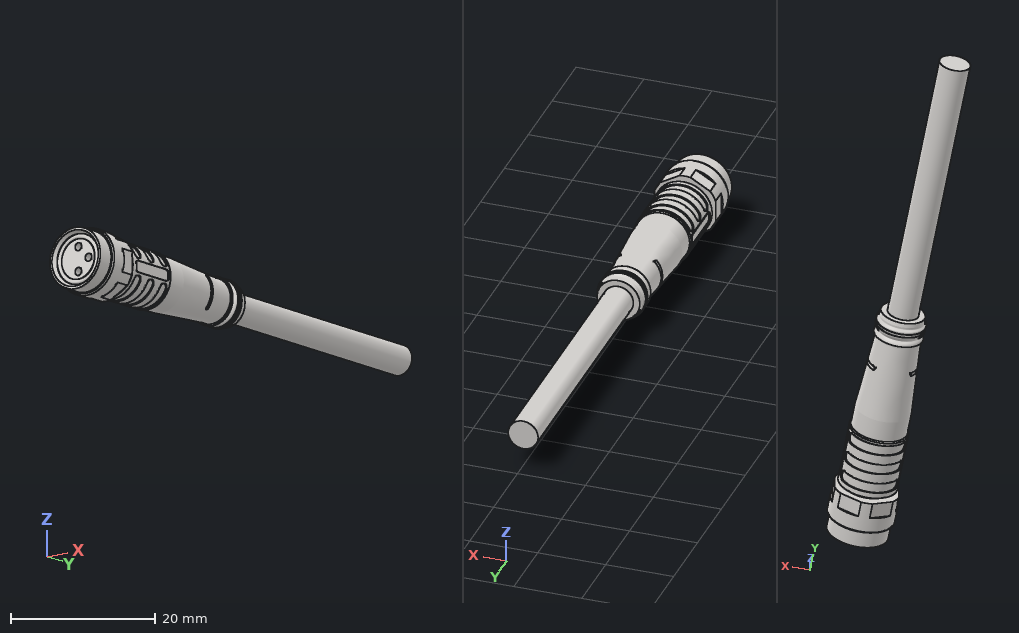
import cadquery as cq
import math


MATING_END_Y = -37.55
CABLE_END_Y = 37.55
COLLAR_FRONT_Y = -35.1
COLLAR_CHAMFER = 0.2
HEX_FRONT_Y = -32.6
NUT_REAR_Y = -30.35
GRIP_FRONT_Y = -29.75
GRIP_REAR_Y = -20.8
GRIP_CHAMFER = 0.19
TAPER_FRONT_Y = -17.7
TAPER_REAR_Y = -6.4
BOOT_END_Y = -2.4

CABLE_DIA = 4.4
BARREL_DIA = 8.8
COLLAR_DIA = 9.6
NECK_DIA = 6.5
GRIP_DIA = 8.4
BODY_DIA = 8.0
TAPER_REAR_DIA = 6.5

BEAD_DIA = 7.05
FRONT_BEAD_Y = -5.9
WAIST_Y = -5.25
WAIST_DIA = 6.3
WAIST_CORE_DIA = 5.6
BEAD_SPLIT_FRONT_Y = -4.4
BEAD_SPLIT_WIDTH = 0.45
BEAD_SPLIT_DIA = 6.9
REAR_BEAD_WIDTH = 0.4
REAR_BEAD_FLANK = 0.26
BOOT_LIP_Y = -3.0
BOOT_LIP_DIA = 6.3

HEX_ACROSS_FLATS = 9.0

SOCKET_MOUTH_DIA = 8.0
SOCKET_BOTTOM_DIA = 7.2
SOCKET_DEPTH = 0.75
INSERT_DIA = 5.8
CONTACT_DIA = 1.1
CONTACT_DEPTH = 1.5
CONTACT_RADIUS = 1.765
CONTACT_ANGLES = (-90, 0, 90)

GRIP_RECESS_DIA = BODY_DIA
GRIP_SLOT_WIDTH = 1.5
GRIP_SLOT_PITCH = 3.0
GRIP_SLOT_MIDDLE_Y = -25.15
GRIP_SLOT_END_Z = 1.2
SIDE_SLOT_WIDTH = 1.65
SIDE_SLOT_LENGTH = 7.5
SIDE_SLOT_CORNER = 0.5
SIDE_SLOT_FLOOR_X = GRIP_RECESS_DIA / 2

NOTCH_REAR_Y = -10.3
NOTCH_LENGTH = 0.5
NOTCH_DEPTH = 0.19
NOTCH_HALF_HEIGHT = 2.4

CUT_MARGIN = 1.5


def revolve_about_y(points):
    """Revolve an outline of (diameter, y) points about the Y axis."""
    outline = [(diameter / 2, y) for diameter, y in points]
    return cq.Workplane("XY").polyline(outline).close().revolve(360, (0, 0, 0), (0, 1, 0))


def taper_dia(y):
    share = (y - TAPER_FRONT_Y) / (TAPER_REAR_Y - TAPER_FRONT_Y)
    return BODY_DIA + share * (TAPER_REAR_DIA - BODY_DIA)


def outer_body():
    return revolve_about_y([
        (0, MATING_END_Y),
        (BARREL_DIA, MATING_END_Y),
        (BARREL_DIA, COLLAR_FRONT_Y),
        (COLLAR_DIA - 2 * COLLAR_CHAMFER, COLLAR_FRONT_Y),
        (COLLAR_DIA, COLLAR_FRONT_Y + COLLAR_CHAMFER),
        (COLLAR_DIA, NUT_REAR_Y),
        (NECK_DIA, NUT_REAR_Y),
        (NECK_DIA, GRIP_FRONT_Y),
        (GRIP_DIA, GRIP_FRONT_Y),
        (GRIP_DIA, GRIP_REAR_Y - GRIP_CHAMFER),
        (BODY_DIA, GRIP_REAR_Y),
        (BODY_DIA, TAPER_FRONT_Y),
        (TAPER_REAR_DIA, TAPER_REAR_Y),
        (TAPER_REAR_DIA, FRONT_BEAD_Y),
        (WAIST_CORE_DIA, FRONT_BEAD_Y),
        (WAIST_CORE_DIA, BOOT_LIP_Y),
        (TAPER_REAR_DIA, BOOT_LIP_Y),
        (BOOT_LIP_DIA, BOOT_END_Y),
        (CABLE_DIA, BOOT_END_Y),
        (CABLE_DIA, CABLE_END_Y),
        (0, CABLE_END_Y),
    ])


def strain_relief_beads():
    """Rounded beads as one ring, running from the front bead to the lip."""
    split_rear_y = BEAD_SPLIT_FRONT_Y + BEAD_SPLIT_WIDTH
    rear_bead_y = split_rear_y + REAR_BEAD_WIDTH
    bead_radius = BEAD_DIA / 2
    split_radius = BEAD_SPLIT_DIA / 2
    body_radius = TAPER_REAR_DIA / 2
    waist = [
        (WAIST_DIA / 2, WAIST_Y),
        (bead_radius, BEAD_SPLIT_FRONT_Y),
    ]
    rear_flank = [
        (bead_radius, rear_bead_y),
        (body_radius, rear_bead_y + REAR_BEAD_FLANK),
        (body_radius, BOOT_LIP_Y),
    ]
    along_y = [(0, 1), (0, 1)]
    return (
        cq.Workplane("XY")
        .moveTo(0, FRONT_BEAD_Y)
        .lineTo(bead_radius, FRONT_BEAD_Y)
        .spline(waist, tangents=along_y, includeCurrent=True)
        .lineTo(split_radius, BEAD_SPLIT_FRONT_Y)
        .lineTo(split_radius, split_rear_y)
        .lineTo(bead_radius, split_rear_y)
        .spline(rear_flank, tangents=along_y, includeCurrent=True)
        .lineTo(0, BOOT_LIP_Y)
        .close()
        .revolve(360, (0, 0, 0), (0, 1, 0))
    )


def hex_flat_cutter():
    """Material outside the hexagon, whose flats face +X and -X."""
    length = NUT_REAR_Y - HEX_FRONT_Y
    across_corners = HEX_ACROSS_FLATS / math.cos(math.pi / 6)
    plane = cq.Workplane("XZ", origin=(0, NUT_REAR_Y, 0))
    hexagon = plane.transformed(rotate=(0, 0, 30)).polygon(6, across_corners).extrude(length)
    return plane.circle(COLLAR_DIA).extrude(length).cut(hexagon)


def socket_recess():
    """Conical mouth with a half-round ring left standing around the insert."""
    floor_y = MATING_END_Y + SOCKET_DEPTH
    mouth = revolve_about_y([
        (0, MATING_END_Y),
        (SOCKET_MOUTH_DIA, MATING_END_Y),
        (SOCKET_BOTTOM_DIA, floor_y),
        (0, floor_y),
    ])
    ring_radius = (SOCKET_BOTTOM_DIA - INSERT_DIA) / 4
    ring_center = (SOCKET_BOTTOM_DIA + INSERT_DIA) / 4
    ring = (
        cq.Workplane("XY")
        .moveTo(ring_center - ring_radius, floor_y)
        .threePointArc((ring_center, floor_y - ring_radius), (ring_center + ring_radius, floor_y))
        .close()
        .revolve(360, (0, 0, 0), (0, 1, 0))
    )
    return mouth.cut(ring)


def contact_holes():
    floor_y = MATING_END_Y + SOCKET_DEPTH
    centers = [
        (CONTACT_RADIUS * math.cos(math.radians(a)), CONTACT_RADIUS * math.sin(math.radians(a)))
        for a in CONTACT_ANGLES
    ]
    plane = cq.Workplane("XZ", origin=(0, floor_y, 0))
    return plane.pushPoints(centers).circle(CONTACT_DIA / 2).extrude(-CONTACT_DEPTH)


def grip_slots():
    """Three shallow arc slots over the top and three under the bottom, with round ends."""
    reach = GRIP_DIA
    slot_length = reach - GRIP_SLOT_END_Z
    centers = [
        (GRIP_SLOT_MIDDLE_Y + step * GRIP_SLOT_PITCH, side * (GRIP_SLOT_END_Z + slot_length / 2))
        for step in (-1, 0, 1)
        for side in (-1, 1)
    ]
    outlines = (
        cq.Workplane("YZ", origin=(-reach, 0, 0))
        .pushPoints(centers)
        .slot2D(slot_length, GRIP_SLOT_WIDTH, 90)
        .extrude(2 * reach)
    )
    shell = revolve_about_y([
        (GRIP_RECESS_DIA, GRIP_FRONT_Y),
        (GRIP_DIA + CUT_MARGIN, GRIP_FRONT_Y),
        (GRIP_DIA + CUT_MARGIN, GRIP_REAR_Y),
        (GRIP_RECESS_DIA, GRIP_REAR_Y),
    ])
    return shell.intersect(outlines)


def side_slot(side):
    """Flat-floored lengthwise slot on the +X (side = 1) or -X (side = -1) face of the grip."""
    slot = (
        cq.Workplane("XY")
        .box(CUT_MARGIN, SIDE_SLOT_LENGTH, SIDE_SLOT_WIDTH)
        .edges("|X")
        .fillet(SIDE_SLOT_CORNER)
    )
    return slot.translate((side * (SIDE_SLOT_FLOOR_X + CUT_MARGIN / 2), GRIP_SLOT_MIDDLE_Y, 0))


def thumb_notches():
    """Shallow wedge grooves across the +X and -X faces of the taper."""
    front_y = NOTCH_REAR_Y - NOTCH_LENGTH
    groove = revolve_about_y([
        (taper_dia(front_y), front_y),
        (taper_dia(NOTCH_REAR_Y) - 2 * NOTCH_DEPTH, NOTCH_REAR_Y),
        (taper_dia(NOTCH_REAR_Y), NOTCH_REAR_Y),
    ])
    band = cq.Workplane("XY").box(2 * BODY_DIA, -2 * TAPER_FRONT_Y, 2 * NOTCH_HALF_HEIGHT)
    return groove.intersect(band)


result = (
    outer_body()
    .union(strain_relief_beads())
    .cut(hex_flat_cutter())
    .cut(socket_recess())
    .cut(contact_holes())
    .cut(grip_slots())
    .cut(side_slot(-1))
    .cut(side_slot(1))
    .cut(thumb_notches())
)